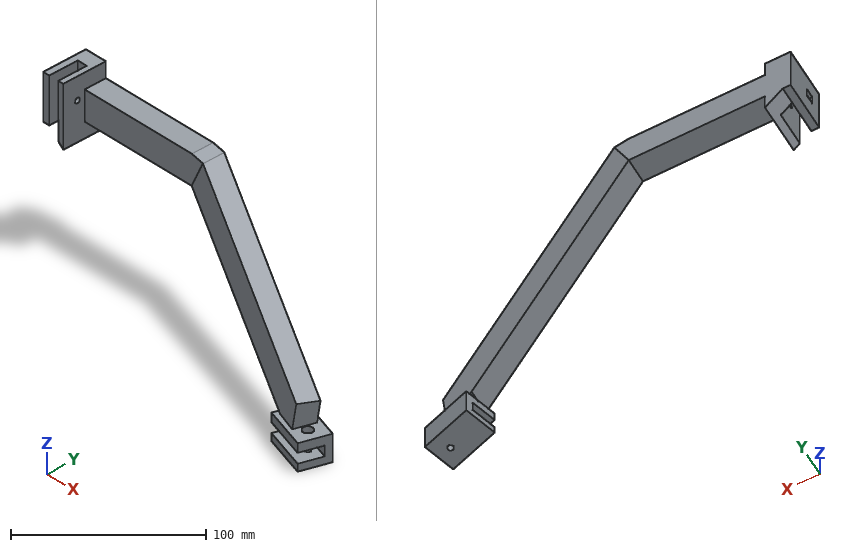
import cadquery as cq
import math

TOTAL_LENGTH = 248.15
TOTAL_DEPTH = 78.81
TOTAL_HEIGHT = 104.8

SLOT_WIDTH = 6.7
SCREW_DIAMETER = 3.4
SCREW_HEAD_DIAMETER = 6.5
SCREW_HEAD_DEPTH = 4.0
NUT_WIDTH = 5.6
NUT_DEPTH = 2.0

UPPER_OUTER_WALL = 4.6
UPPER_INNER_WALL = 3.7
UPPER_LENGTH = UPPER_OUTER_WALL + SLOT_WIDTH + UPPER_INNER_WALL
UPPER_DEPTH = 30.0
UPPER_SLOT_DEPTH = 20.0
UPPER_OUTER_HEIGHT = 31.0
UPPER_INNER_HEIGHT = 41.0
UPPER_SCREW_FROM_TOP = 15.0

ARM_WIDTH = 15.0
ARM_HEIGHT = 20.0
ARM_BOTTOM_Z = -30.5
BEND_X = 95.0
DROP_ANGLE = 25.0
SIDE_ANGLE = 23.2

LOWER_ANGLE = 17.5
LOWER_LENGTH = 31.0
LOWER_DEPTH = 20.0
LOWER_TOP_WALL = 6.0
LOWER_BOTTOM_WALL = 5.0
LOWER_HEIGHT = LOWER_TOP_WALL + SLOT_WIDTH + LOWER_BOTTOM_WALL
LOWER_WEB = 4.6
LOWER_SCREW_FROM_END = 8.7
LOWER_SCREW_FROM_FRONT = LOWER_DEPTH / 2
ARM_END_SETBACK = 12.6

LOWER_BOTTOM_Z = -TOTAL_HEIGHT
LOWER_TOP_Z = LOWER_BOTTOM_Z + LOWER_HEIGHT


def make_upper_clamp():
    """Fork with a taller inner wall, a sloped underside and a screw with a square nut."""
    body = (
        cq.Workplane("XZ")
        .polyline([
            (0, 0),
            (UPPER_LENGTH, 0),
            (UPPER_LENGTH, -UPPER_INNER_HEIGHT),
            (UPPER_OUTER_WALL, -UPPER_OUTER_HEIGHT),
            (0, -UPPER_OUTER_HEIGHT),
        ])
        .close()
        .extrude(UPPER_DEPTH)
    )
    slot = cq.Workplane("XY").box(
        SLOT_WIDTH, UPPER_SLOT_DEPTH, UPPER_INNER_HEIGHT, centered=False
    ).translate((UPPER_OUTER_WALL, -UPPER_DEPTH, -UPPER_INNER_HEIGHT))

    screw_y = -UPPER_DEPTH + UPPER_SLOT_DEPTH / 2
    outer_face = cq.Workplane("YZ").center(screw_y, -UPPER_SCREW_FROM_TOP)
    screw_hole = outer_face.circle(SCREW_DIAMETER / 2).extrude(UPPER_LENGTH)
    nut_pocket = outer_face.rect(NUT_WIDTH, NUT_WIDTH).extrude(NUT_DEPTH)
    return body.cut(slot).cut(screw_hole).cut(nut_pocket)


def make_level_arm():
    """Level bar whose far end is tipped down about its lower edge."""
    drop = math.radians(DROP_ANGLE)
    top_z = ARM_BOTTOM_Z + ARM_HEIGHT
    return (
        cq.Workplane("XZ")
        .polyline([
            (UPPER_LENGTH, ARM_BOTTOM_Z),
            (BEND_X, ARM_BOTTOM_Z),
            (BEND_X + ARM_HEIGHT * math.sin(drop), ARM_BOTTOM_Z + ARM_HEIGHT * math.cos(drop)),
            (BEND_X, top_z),
            (UPPER_LENGTH, top_z),
        ])
        .close()
        .extrude(ARM_WIDTH)
    )


def make_sloping_arm():
    """Tipped arm section carried down and sideways, trimmed to stand on the lower clamp."""
    drop = math.radians(DROP_ANGLE)
    run = TOTAL_LENGTH - BEND_X
    path = cq.Vector(
        run,
        -run * math.tan(math.radians(SIDE_ANGLE)),
        -run * math.tan(drop),
    )
    section = [
        cq.Vector(BEND_X + h * math.sin(drop), y, ARM_BOTTOM_Z + h * math.cos(drop))
        for h, y in ((0, 0), (ARM_HEIGHT, 0), (ARM_HEIGHT, -ARM_WIDTH), (0, -ARM_WIDTH))
    ]
    face = cq.Face.makeFromWires(cq.Wire.makePolygon(section, close=True))
    bar = cq.Workplane(obj=cq.Solid.extrudeLinear(face, path))

    keep = cq.Workplane("XY").box(
        2 * TOTAL_LENGTH, 2 * TOTAL_LENGTH, TOTAL_HEIGHT, centered=(False, True, False)
    ).translate((-2 * TOTAL_LENGTH - ARM_END_SETBACK, 0, LOWER_TOP_Z))
    return bar.intersect(place_at_lower_end(keep))


def place_at_lower_end(shape):
    """Move a shape from clamp axes (origin at the far front corner) to its turned position."""
    corner_x = TOTAL_LENGTH - LOWER_DEPTH * math.sin(math.radians(LOWER_ANGLE))
    return shape.rotate((0, 0, 0), (0, 0, 1), -LOWER_ANGLE).translate((corner_x, -TOTAL_DEPTH, 0))


def make_lower_clamp():
    """Fork that opens to the front, with a counterbored screw hole through both walls."""
    body = cq.Workplane("XY").box(
        LOWER_LENGTH, LOWER_DEPTH, LOWER_HEIGHT, centered=False
    ).translate((-LOWER_LENGTH, 0, LOWER_BOTTOM_Z))
    slot = cq.Workplane("XY").box(
        LOWER_LENGTH, LOWER_DEPTH - LOWER_WEB, SLOT_WIDTH, centered=False
    ).translate((-LOWER_LENGTH, 0, LOWER_BOTTOM_Z + LOWER_BOTTOM_WALL))
    top_face = (
        cq.Workplane("XY", origin=(0, 0, LOWER_TOP_Z))
        .center(-LOWER_SCREW_FROM_END, LOWER_SCREW_FROM_FRONT)
    )
    screw_hole = top_face.circle(SCREW_DIAMETER / 2).extrude(-LOWER_HEIGHT)
    head_recess = top_face.circle(SCREW_HEAD_DIAMETER / 2).extrude(-SCREW_HEAD_DEPTH)
    return place_at_lower_end(body.cut(slot).cut(screw_hole).cut(head_recess))


result = (
    make_upper_clamp()
    .union(make_level_arm())
    .union(make_sloping_arm())
    .union(make_lower_clamp())
)